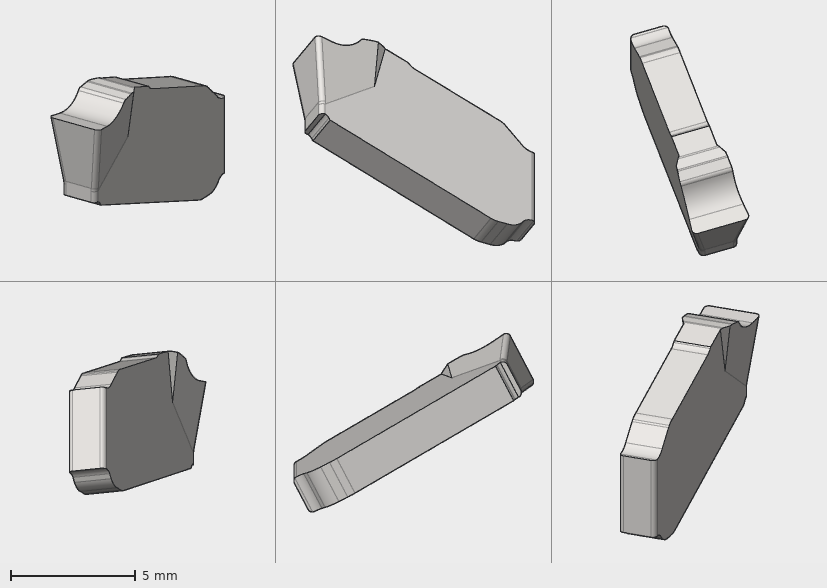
import cadquery as cq

body_width = 1.6
length = 10.0
height = 7.0
half_body = body_width / 2
corner_radius = 0.2
edge_tolerance = 0.01
shortest_upright = 0.1

tip_z = 6.41
nose_y = 0.35
nose_top_z = 3.55
nose_bottom_z = 2.92

back_top_z = 3.89
back_bottom_z = 0.52
back_land_y = 9.88

cheek_apex = (2.76, 4.96)
cheek_foot = (0.59, 3.43)
cheek_rear = (3.24, 6.96)
ridge_top = (2.82, 7.04)
ridge_rise = 0.25
cheek_reach = 5.0
blank_half_width = 1.5


def side_profile():
    """Closed outline of the insert in the YZ plane."""
    return (
        cq.Workplane("YZ")
        .moveTo(0, tip_z)
        .lineTo(0.72, 6.31)
        .tangentArcPoint((2.0, 6.82), relative=False)
        .threePointArc((2.07, 6.89), (2.16, 6.92))
        .lineTo(2.59, 6.99)
        .lineTo(2.65, height)
        .lineTo(3.1, height)
        .lineTo(3.17, 6.99)
        .lineTo(4.25, 6.61)
        .lineTo(4.31, 6.56)
        .threePointArc((4.42, 6.45), (4.55, 6.38))
        .lineTo(8.25, 5.04)
        .threePointArc((8.42, 4.98), (8.57, 4.89))
        .lineTo(8.64, 4.82)
        .lineTo(9.31, 4.16)
        .threePointArc((9.56, 3.96), (back_land_y, back_top_z))
        .lineTo(length, back_top_z)
        .lineTo(length, back_bottom_z)
        .lineTo(back_land_y, back_bottom_z)
        .threePointArc((9.62, 0.49), (9.47, 0.4))
        .lineTo(9.32, 0.23)
        .threePointArc((9.05, 0.06), (8.7, 0))
        .lineTo(8.3, 0)
        .threePointArc((8.13, 0.01), (7.97, 0.05))
        .lineTo(0.78, 2.68)
        .lineTo(0.72, 2.77)
        .threePointArc((0.65, 2.86), (0.56, nose_bottom_z))
        .lineTo(nose_y, nose_bottom_z)
        .lineTo(nose_y, nose_top_z)
        .close()
    )


def cheek_cone(side):
    """Three-sided pyramid spreading outward from the apex; side is +1 or -1."""
    def ray_end(point, rise):
        dy = point[0] - cheek_apex[0]
        dz = point[1] - cheek_apex[1]
        return cq.Vector(
            side * (half_body + cheek_reach * rise),
            cheek_apex[0] + cheek_reach * dy,
            cheek_apex[1] + cheek_reach * dz,
        )

    apex = cq.Vector(side * half_body, *cheek_apex)
    foot = ray_end(cheek_foot, 0)
    rear = ray_end(cheek_rear, 0)
    ridge = ray_end(ridge_top, ridge_rise)
    triangles = [
        (apex, foot, rear),
        (apex, foot, ridge),
        (apex, ridge, rear),
        (foot, ridge, rear),
    ]
    faces = [
        cq.Face.makeFromWires(cq.Wire.makePolygon(list(corners), close=True))
        for corners in triangles
    ]
    return cq.Workplane(obj=cq.Solid.makeSolid(cq.Shell.makeShell(faces)).fix())


body = side_profile().extrude(half_body, both=True)
blank = side_profile().extrude(blank_half_width, both=True)
for side in (1, -1):
    body = body.union(blank.intersect(cheek_cone(side)))


def is_end_corner(edge):
    box = edge.BoundingBox()
    at_back = box.ymin > length - edge_tolerance
    at_front = box.ymax < nose_y + edge_tolerance
    at_side = abs(edge.Center().x) > half_body - edge_tolerance
    return (at_back or at_front) and at_side and box.zlen > shortest_upright


end_corners = [edge for edge in body.edges().vals() if is_end_corner(edge)]
result = body.newObject(end_corners).fillet(corner_radius)